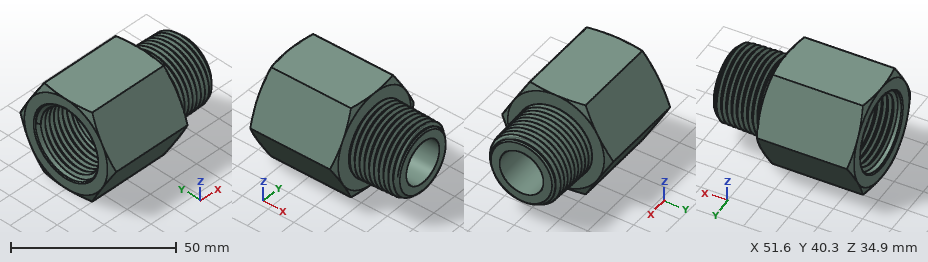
import cadquery as cq
import math

ACROSS_FLATS = 34.925
ACROSS_CORNERS = ACROSS_FLATS / math.cos(math.radians(30))
HEX_LENGTH = 32.9
HEX_CHAMFER_LENGTH = 1.0

PITCH = 25.4 / 14
TAPER_SLOPE = 1 / 32
TAPER_ANGLE = math.degrees(math.atan(TAPER_SLOPE))
RIDGE_HEIGHT = 1.25
RIDGE_BASE = 1.4
RIDGE_CREST = 0.12
RIDGE_EMBED = 0.15

TOTAL_LENGTH = 51.62
MALE_CREST_RADIUS = 13.35
MALE_ROOT_RADIUS = MALE_CREST_RADIUS - RIDGE_HEIGHT
MALE_TIP_RADIUS = 11.05
MALE_THREAD_START = HEX_LENGTH + 0.34 - PITCH

MOUTH_RADIUS = 13.6
FEMALE_ROOT_RADIUS = 13.2
MOUTH_CHAMFER = MOUTH_RADIUS - FEMALE_ROOT_RADIUS
SOCKET_DEPTH = 16.0
FEMALE_THREAD_START = 1.4
PASSAGE_RADIUS = 15.875 / 2
DRILL_POINT_ANGLE = 118


def male_radius(root_radius, x):
    """Radius at station x of a cone that has root_radius at the shoulder."""
    return root_radius - TAPER_SLOPE * (x - HEX_LENGTH)


def female_radius(x):
    return FEMALE_ROOT_RADIUS - TAPER_SLOPE * x


def turned(profile):
    """Revolve an (x, radius) outline about the X axis."""
    return cq.Workplane("XY").polyline(profile).close().revolve(360, (0, 0, 0), (1, 0, 0))


def thread_ridge(start, end, root_radius, outward):
    """Tapered right-hand helical ridge along X, starting on the +Y side.

    outward is 1 for a ridge standing on a shaft and -1 for one inside a bore.
    """
    path = cq.Wire.makeHelix(PITCH, end - start, root_radius, angle=-TAPER_ANGLE)
    flank_slope = (RIDGE_BASE - RIDGE_CREST) / 2 / RIDGE_HEIGHT
    embedded_half = RIDGE_BASE / 2 + flank_slope * RIDGE_EMBED
    foot = root_radius - outward * RIDGE_EMBED
    crest = root_radius + outward * RIDGE_HEIGHT
    section = cq.Workplane("XZ").polyline([
        (foot, -embedded_half),
        (crest, -RIDGE_CREST / 2),
        (crest, RIDGE_CREST / 2),
        (foot, embedded_half),
    ]).close()
    ridge = section.sweep(cq.Workplane(obj=path), isFrenet=True)
    return ridge.rotate((0, 0, 0), (1, 1, 1), 120).translate((start, 0, 0))


def hex_body():
    """Hexagon with its corners on +Y and -Y, chamfered round at both ends."""
    prism = cq.Workplane("YZ").polygon(6, ACROSS_CORNERS).extrude(HEX_LENGTH)
    envelope = turned([
        (0, 0),
        (0, ACROSS_FLATS / 2),
        (HEX_CHAMFER_LENGTH, ACROSS_CORNERS / 2),
        (HEX_LENGTH - HEX_CHAMFER_LENGTH, ACROSS_CORNERS / 2),
        (HEX_LENGTH, ACROSS_FLATS / 2),
        (HEX_LENGTH, 0),
    ])
    return prism.intersect(envelope)


def male_end():
    """Tapered shank with its thread, chamfered at 45 degrees at the tip."""
    overlap_start = HEX_LENGTH - PITCH
    shank = turned([
        (overlap_start, 0),
        (overlap_start, male_radius(MALE_ROOT_RADIUS, overlap_start)),
        (TOTAL_LENGTH, male_radius(MALE_ROOT_RADIUS, TOTAL_LENGTH)),
        (TOTAL_LENGTH, 0),
    ])
    start_radius = male_radius(MALE_ROOT_RADIUS, MALE_THREAD_START)
    ridge = thread_ridge(MALE_THREAD_START, TOTAL_LENGTH + PITCH, start_radius, 1)
    envelope_radius = ACROSS_FLATS / 2
    envelope = turned([
        (overlap_start, 0),
        (overlap_start, envelope_radius),
        (TOTAL_LENGTH - (envelope_radius - MALE_TIP_RADIUS), envelope_radius),
        (TOTAL_LENGTH, MALE_TIP_RADIUS),
        (TOTAL_LENGTH, 0),
    ])
    return shank.union(ridge).intersect(envelope)


def bore():
    """Chamfered mouth, tapered socket, drill point and straight passage."""
    socket_end_radius = female_radius(SOCKET_DEPTH)
    point_slope = math.tan(math.radians(DRILL_POINT_ANGLE / 2))
    point_length = (socket_end_radius - PASSAGE_RADIUS) / point_slope
    return turned([
        (0, 0),
        (0, MOUTH_RADIUS),
        (MOUTH_CHAMFER, female_radius(MOUTH_CHAMFER)),
        (SOCKET_DEPTH, socket_end_radius),
        (SOCKET_DEPTH + point_length, PASSAGE_RADIUS),
        (TOTAL_LENGTH, PASSAGE_RADIUS),
        (TOTAL_LENGTH, 0),
    ])


def female_ridge():
    start_radius = female_radius(FEMALE_THREAD_START)
    return thread_ridge(FEMALE_THREAD_START, SOCKET_DEPTH - RIDGE_BASE / 2, start_radius, -1)


result = hex_body().union(male_end()).cut(bore()).union(female_ridge())